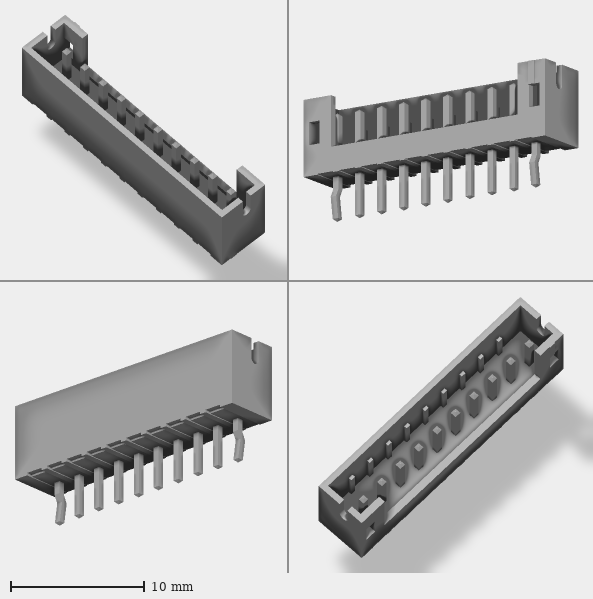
import cadquery as cq

length = 21.9
width = 4.5
height = 6.0
end_wall = 0.5
front_wall = 0.5
back_wall = 0.6
floor_height = 1.6

back_end_length = 2.5
low_wall_height = 2.0

window_width = 0.96
window_bottom = 2.4
window_top = 4.18

slot_width = 0.8
slot_depth = 2.0
slot_y = 2.58

key_x = 1.23
key_width = 0.53
key_projection = 0.07

pin_count = 10
first_pin_x = 1.95
pitch = (length - 2 * first_pin_x) / (pin_count - 1)
pin_size = 0.5
pin_y = 2.8
pin_top = 5.02
pin_bottom = -3.4
tip_length = 0.2
tip_flat = 0.05
pin_positions = [first_pin_x + i * pitch for i in range(pin_count)]

kink_start = -0.92
kink_peak = -1.53
kink_offset = 0.3
kink_end_offset = 0.05

rib_width = 0.4
rib_depth = 0.26
rib_top = 4.0

channel_width = 1.47
channel_depth = 0.07
channel_mouth_depth = 0.2
channel_mouth_length = front_wall
channel_slope_run = 0.05


def block(x_range, y_range, z_range):
    """Box spanning the given (low, high) ranges."""
    sizes = [high - low for low, high in (x_range, y_range, z_range)]
    corner = (x_range[0], y_range[0], z_range[0])
    return cq.Workplane("XY").box(*sizes, centered=False).translate(corner)


def across(x, size):
    """Range of the given size centred on x."""
    return (x - size / 2, x + size / 2)


def profile_along_x(points, x, size):
    """Prism of a (Y, Z) outline, centred on x."""
    return cq.Workplane("YZ", origin=(x - size / 2, 0, 0)).polyline(points).close().extrude(size)


def make_shell():
    outer = block((0, length), (0, width), (0, height))
    inner_x = (end_wall, length - end_wall)
    back_inner_y = width - back_wall
    cavity = block(inner_x, (front_wall, back_inner_y), (floor_height, height))
    back_gap = block(
        (back_end_length, length - back_end_length), (back_inner_y, width), (low_wall_height, height)
    )
    shell = outer.cut(cavity).cut(back_gap)
    for start in (inner_x[0], inner_x[1] - window_width):
        window = block((start, start + window_width), (back_inner_y, width), (window_bottom, window_top))
        shell = shell.cut(window)
    return shell


def make_end_slots():
    """Slot cutter running through both end walls."""
    radius = slot_width / 2
    arc_z = height - slot_depth + radius
    return (
        cq.Workplane("YZ")
        .moveTo(slot_y - radius, height)
        .lineTo(slot_y - radius, arc_z)
        .threePointArc((slot_y, arc_z - radius), (slot_y + radius, arc_z))
        .lineTo(slot_y + radius, height)
        .close()
        .extrude(length)
    )


def make_channel(x):
    """Shallow channel from front to back with a deeper mouth at the front that slopes down to it."""
    outline = [
        (0, 0),
        (0, channel_mouth_depth),
        (channel_mouth_length, channel_mouth_depth),
        (channel_mouth_length + channel_slope_run, channel_depth),
        (width, channel_depth),
        (width, 0),
    ]
    return profile_along_x(outline, x, channel_width)


def make_rib(x):
    return block(across(x, rib_width), (front_wall, front_wall + rib_depth), (floor_height, rib_top))


def make_tip(x, y, base_z, rise):
    """Four-sided taper starting at base_z; a negative rise points it down."""
    return (
        cq.Workplane("XY", origin=(x, y, base_z))
        .rect(pin_size, pin_size)
        .workplane(offset=rise)
        .rect(tip_flat, tip_flat)
        .loft()
    )


def make_pin(x, kinked):
    """Square pin with tapered ends; a kinked pin has its leg bent towards the back."""
    shank_top = pin_top - tip_length
    shank_bottom = pin_bottom + tip_length
    path = [(0, shank_top), (0, shank_bottom)]
    if kinked:
        path = [
            (0, shank_top),
            (0, kink_start),
            (kink_offset, kink_peak),
            (kink_end_offset, shank_bottom),
        ]
    front, back = across(pin_y, pin_size)
    outline = [(front + offset, z) for offset, z in path]
    outline += [(back + offset, z) for offset, z in reversed(path)]
    shank = profile_along_x(outline, x, pin_size)
    upper_tip = make_tip(x, pin_y, shank_top, tip_length)
    lower_tip = make_tip(x, pin_y + path[-1][0], shank_bottom, -tip_length)
    return shank.union(upper_tip).union(lower_tip)


housing = make_shell().cut(make_end_slots())
for pin_x in pin_positions:
    housing = housing.cut(make_channel(pin_x))
for pin_x in pin_positions[:-1]:
    housing = housing.union(make_rib(pin_x + pitch / 2))

key_y = (width - back_wall, width + key_projection)
key = block(across(key_x, key_width), key_y, (window_top, height))
result = housing.union(key)

for pin_x in pin_positions:
    is_end_pin = pin_x in (pin_positions[0], pin_positions[-1])
    result = result.union(make_pin(pin_x, kinked=is_end_pin))